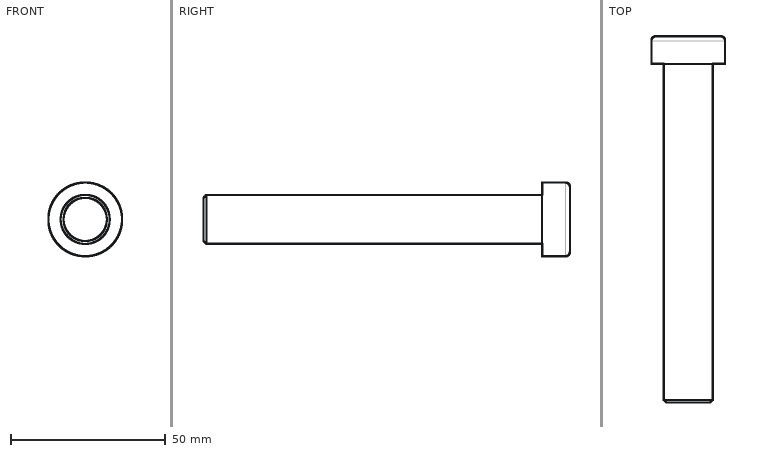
import cadquery as cq

total_length = 119.0
head_diameter = 24.0
head_length = 9.0
head_edge_radius = 1.5
shank_diameter = 16.0
tip_chamfer = 1.0

shank_length = total_length - head_length

shank = (
    cq.Workplane("XZ")
    .circle(shank_diameter / 2)
    .extrude(-shank_length)
    .faces("<Y")
    .chamfer(tip_chamfer)
)

head = (
    cq.Workplane("XZ", origin=(0, shank_length, 0))
    .circle(head_diameter / 2)
    .extrude(-head_length)
    .faces(">Y")
    .edges()
    .fillet(head_edge_radius)
)

result = shank.union(head)